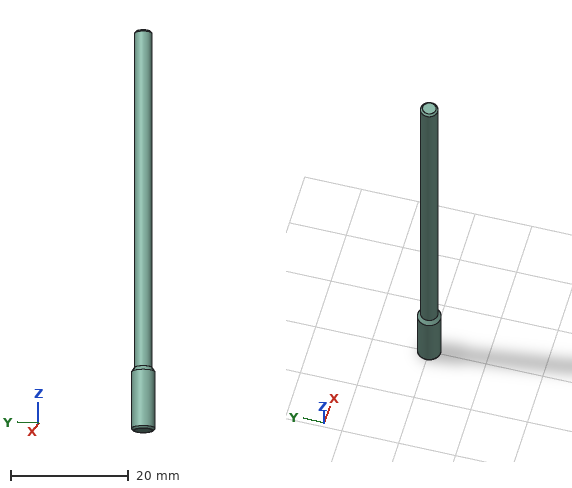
import cadquery as cq

total_length = 70.0
rod_diameter = 3.0
rod_tip_chamfer = 0.35
sleeve_diameter = 4.05
sleeve_length = 11.0
sleeve_shoulder_height = 0.8
sleeve_bottom_chamfer = 0.35

rod_radius = rod_diameter / 2
sleeve_radius = sleeve_diameter / 2


def make_rod():
    """Straight rod along Z with a chamfered upper tip."""
    rod = cq.Workplane("XY").circle(rod_radius).extrude(total_length)
    return rod.faces(">Z").chamfer(rod_tip_chamfer)


def make_sleeve():
    """Tube around the rod's lower end, tapering down to the rod at its top."""
    profile = (
        cq.Workplane("XZ")
        .moveTo(rod_radius, 0)
        .lineTo(sleeve_radius - sleeve_bottom_chamfer, 0)
        .lineTo(sleeve_radius, sleeve_bottom_chamfer)
        .lineTo(sleeve_radius, sleeve_length - sleeve_shoulder_height)
        .lineTo(rod_radius, sleeve_length)
        .close()
    )
    return profile.revolve(360, (0, 0, 0), (0, 1, 0))


rod = make_rod()
sleeve = make_sleeve()

result = cq.Compound.makeCompound([rod.val(), sleeve.val()])